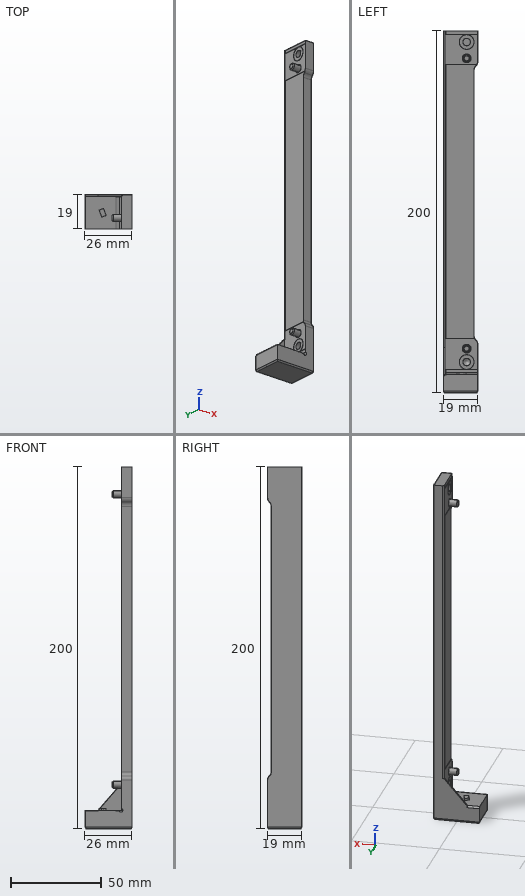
import cadquery as cq
import math

length = 26.0
width = 19.0
height = 200.0
column_thickness = 6.0
base_height = 10.0
column_x = length - column_thickness

bottom_chamfer_rise = 1.0
bottom_chamfer_inset = 0.5
side_chamfer = 1.0

gusset_thickness = side_chamfer
gusset_length = 13.0
gusset_rise = 15.0

relief_depth = 0.2
rim_width = 1.4
relief_width = width - rim_width
pad_gap = 3.0
lower_pad_top = 30.0
upper_pad_bottom = 181.5
upper_pad_top = 198.0
ramp_depth = 0.5

groove_diameter = 2.0
groove_offset = 0.15

waist_depth = 2.0
waist_lower_start = 27.0
waist_lower_end = 31.3
waist_upper_start = 178.3
waist_upper_end = 183.1

hole_y = 6.15
screw_holes_z = (17.0, 193.9)
screw_hole_diameter = 4.13
screw_hole_depth = 4.0
drill_tip_length = 1.2
spot_face_diameter = 8.1
spot_face_depth = 0.1
pins_z = (24.4, 184.9)
pin_diameter = 4.0
pin_projection = 5.0
pin_depth = 4.0
pin_chamfer = 0.6
countersink_diameter = 4.8
countersink_depth = (countersink_diameter - pin_diameter) / 2

block_width = 2.6
block_length = 4.1
block_height = 1.2
block_x = 9.7
block_y = 9.0
block_angle = 20.0


def cylinder_x(diameter, start_x, depth, z):
    """Cylinder along +X on the hole line."""
    return cq.Workplane("YZ", origin=(start_x, hole_y, z)).circle(diameter / 2).extrude(depth)


def cone_x(start_diameter, end_diameter, start_x, depth, z):
    """Cone along +X on the hole line."""
    start = cq.Vector(start_x, hole_y, z)
    cone = cq.Solid.makeCone(start_diameter / 2, end_diameter / 2, depth, start, cq.Vector(1, 0, 0))
    return cq.Workplane(cone)


def make_angle():
    """Base and column with chamfered +Y edges, on a foot that tapers in towards the bottom."""
    angle = (
        cq.Workplane("XZ")
        .polyline([
            (0, bottom_chamfer_rise),
            (length, bottom_chamfer_rise),
            (length, height),
            (column_x, height),
            (column_x, base_height),
            (0, base_height),
        ])
        .close()
        .extrude(-width)
    )
    taper = math.degrees(math.atan(bottom_chamfer_inset / bottom_chamfer_rise))
    foot = (
        cq.Workplane("XY", origin=(length / 2, width / 2, bottom_chamfer_rise))
        .rect(length, width)
        .extrude(-bottom_chamfer_rise, taper=taper)
    )
    base_edge_middle = (column_x / 2, width, base_height)
    column_edge_middle = (column_x, width, (base_height + height) / 2)
    for point in (base_edge_middle, column_edge_middle):
        angle = angle.edges(cq.selectors.NearestToPointSelector(point)).chamfer(side_chamfer)
    return angle.union(foot)


def make_gusset():
    """Triangular web, rooted below the chamfered edges of the base and the column."""
    root_x = column_x + side_chamfer
    root_z = base_height - side_chamfer
    toe_x = column_x - gusset_length
    top_z = base_height + gusset_rise
    return (
        cq.Workplane("XZ", origin=(0, width, 0))
        .polyline([
            (root_x, root_z),
            (root_x, top_z),
            (column_x, top_z),
            (toe_x, base_height),
            (toe_x, root_z),
        ])
        .close()
        .extrude(gusset_thickness)
    )


def waist_end(full_z, waist_z):
    """Points of one S-shaped waist end: convex arc middle, inflection, concave arc middle."""
    half_step = waist_depth / 2
    half_span = (waist_z - full_z) / 2
    radius = (half_span**2 + half_step**2) / (2 * half_step)
    half_sweep = math.asin(half_span / radius) / 2
    run = radius * math.sin(half_sweep)
    sag = radius * (1 - math.cos(half_sweep))
    convex = (sag, full_z + run)
    inflection = (half_step, full_z + half_span)
    concave = (waist_depth - sag, waist_z - run)
    return convex, inflection, concave


def make_waist():
    """Material removed from the -Y side of the column."""
    low_convex, low_inflection, low_concave = waist_end(waist_lower_start, waist_lower_end)
    high_convex, high_inflection, high_concave = waist_end(waist_upper_end, waist_upper_start)
    return (
        cq.Workplane("YZ", origin=(column_x, 0, 0))
        .moveTo(0, waist_lower_start)
        .threePointArc(low_convex, low_inflection)
        .threePointArc(low_concave, (waist_depth, waist_lower_end))
        .lineTo(waist_depth, waist_upper_start)
        .threePointArc(high_concave, high_inflection)
        .threePointArc(high_convex, (0, waist_upper_end))
        .close()
        .extrude(column_thickness)
    )


def column_relief(bottom_z, top_z):
    """Shallow pocket in the column front, open towards -Y."""
    return (
        cq.Workplane("XY", origin=(column_x, 0, bottom_z))
        .box(relief_depth, relief_width, top_z - bottom_z, centered=False)
    )


def make_base_relief():
    """Wedge that slopes down from the base pad to the inner corner."""
    return (
        cq.Workplane("XZ")
        .polyline([
            (column_x - pad_gap, base_height),
            (column_x, base_height),
            (column_x, base_height - ramp_depth),
        ])
        .close()
        .extrude(-relief_width)
    )


def make_corner_groove():
    return (
        cq.Workplane("XZ", origin=(column_x - groove_offset, 0, base_height + groove_offset))
        .circle(groove_diameter / 2)
        .extrude(-relief_width)
    )


def make_block():
    return (
        cq.Workplane("XY")
        .rect(block_width, block_length)
        .extrude(block_height)
        .rotate((0, 0, 0), (0, 0, 1), block_angle)
        .translate((block_x, block_y, base_height))
    )


def make_bracket():
    bracket = make_angle().union(make_gusset()).union(make_block())
    bracket = bracket.cut(make_waist())

    relief_spans = (
        (base_height, base_height + pad_gap),
        (lower_pad_top, upper_pad_bottom),
        (upper_pad_top, height),
    )
    for bottom_z, top_z in relief_spans:
        bracket = bracket.cut(column_relief(bottom_z, top_z))
    bracket = bracket.cut(make_base_relief()).cut(make_corner_groove())

    for z in screw_holes_z:
        bracket = bracket.cut(cylinder_x(spot_face_diameter, column_x, spot_face_depth, z))
        bracket = bracket.cut(cylinder_x(screw_hole_diameter, column_x, screw_hole_depth, z))
    tip_x = column_x + screw_hole_depth
    bracket = bracket.cut(cone_x(screw_hole_diameter, 0, tip_x, drill_tip_length, screw_holes_z[0]))

    for z in pins_z:
        bracket = bracket.cut(cylinder_x(pin_diameter, column_x, pin_depth, z))
        bracket = bracket.cut(cone_x(countersink_diameter, pin_diameter, column_x, countersink_depth, z))
    return bracket


def make_pin(z):
    """Dowel pin with a chamfered free end, seated in its hole in the column."""
    pin = cylinder_x(pin_diameter, column_x - pin_projection, pin_projection + pin_depth, z)
    return pin.faces("<X").chamfer(pin_chamfer)


bracket = make_bracket()
pins = [make_pin(z) for z in pins_z]
result = cq.Compound.makeCompound([bracket.solids().val(), *[pin.solids().val() for pin in pins]])